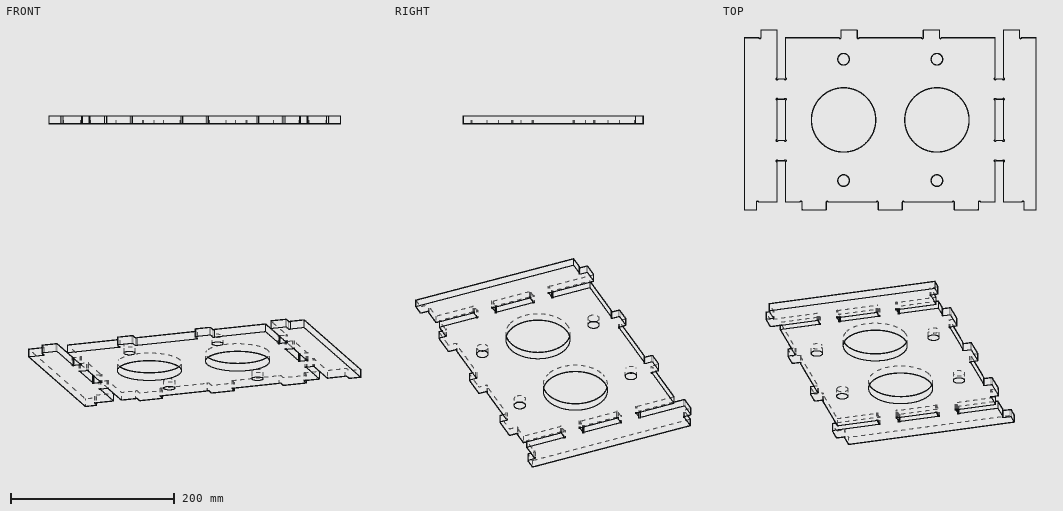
import cadquery as cq

length = 356.0
thickness = 10.0
tab_depth = 9.5
overall_width = 220.0
body_width = overall_width - 2 * tab_depth
shoulder_y = body_width / 2
tab_tip_y = overall_width / 2

slot_width = thickness
slot_outer_x = 138.0
slot_x = slot_outer_x - slot_width / 2
window_length = 50.2
bridge_length = 25.0
open_slot_end_y = window_length / 2 + bridge_length

back_tab_width = 20.0
back_tab_x = 50.2
back_end_tab_width = 20.0
back_end_tab_x = slot_outer_x + back_end_tab_width / 2

front_tab_width = 30.0
front_tab_pitch = 93.0
corner_tab_width = 15.0
corner_tab_x = (length - corner_tab_width) / 2

relief_radius = 1.0
tab_fillet = 1.0

hole_x = 57.0
bore_diameter = 78.3
screw_hole_diameter = 14.0
screw_hole_y = 74.0


def tab(center_x, width, side, rounded_edges="|Z"):
    """Tab on the +Y (side = 1) or -Y (side = -1) edge, rounded at the selected tip corners."""
    tip_face = ">Y" if side > 0 else "<Y"
    blank = cq.Workplane("XY").box(width, 2 * tab_depth, thickness, centered=(True, True, False))
    rounded = blank.faces(tip_face).edges(rounded_edges).fillet(tab_fillet)
    return rounded.translate((center_x, side * (tab_tip_y - tab_depth), 0))


def slot_cut(center_x, start_y, end_y):
    """Rectangular through slot between two Y positions."""
    return (
        cq.Workplane("XY")
        .center(center_x, (start_y + end_y) / 2)
        .rect(slot_width, end_y - start_y)
        .extrude(thickness)
    )


def round_cut(points, diameter):
    """Round through cuts at the given points."""
    return cq.Workplane("XY").pushPoints(points).circle(diameter / 2).extrude(thickness)


panel = cq.Workplane("XY").box(length, body_width, thickness, centered=(True, True, False))
for x in (-back_tab_x, back_tab_x):
    panel = panel.union(tab(x, back_tab_width, 1))
for x in (-front_tab_pitch, 0, front_tab_pitch):
    panel = panel.union(tab(x, front_tab_width, -1))
for side_x, inner_edge in ((-1, "|Z and >X"), (1, "|Z and <X")):
    panel = panel.union(tab(side_x * back_end_tab_x, back_end_tab_width, 1))
    panel = panel.union(tab(side_x * corner_tab_x, corner_tab_width, -1, inner_edge))

for x in (-slot_x, slot_x):
    panel = panel.cut(slot_cut(x, -window_length / 2, window_length / 2))
    panel = panel.cut(slot_cut(x, open_slot_end_y, shoulder_y))
    panel = panel.cut(slot_cut(x, -shoulder_y, -open_slot_end_y))

slot_corners = [
    (side_x * (slot_x + edge * slot_width / 2), side_y * y)
    for side_x in (-1, 1)
    for edge in (-1, 1)
    for side_y in (-1, 1)
    for y in (window_length / 2, open_slot_end_y)
]
panel = panel.cut(round_cut(slot_corners, 2 * relief_radius))

back_relief_xs = [
    back_tab_x - back_tab_width / 2 - relief_radius,
    back_tab_x + back_tab_width / 2 + relief_radius,
    slot_outer_x + back_end_tab_width + relief_radius,
]
front_relief_xs = [
    front_tab_width / 2 + relief_radius,
    front_tab_pitch - front_tab_width / 2 - relief_radius,
    front_tab_pitch + front_tab_width / 2 + relief_radius,
    length / 2 - corner_tab_width - relief_radius,
]
shoulder_reliefs = [
    (side_x * x, y)
    for side_x in (-1, 1)
    for xs, y in ((back_relief_xs, shoulder_y), (front_relief_xs, -shoulder_y))
    for x in xs
]
panel = panel.cut(round_cut(shoulder_reliefs, 2 * relief_radius))

bores = [(-hole_x, 0), (hole_x, 0)]
screw_holes = [(x, y) for x in (-hole_x, hole_x) for y in (-screw_hole_y, screw_hole_y)]
panel = panel.cut(round_cut(bores, bore_diameter))
panel = panel.cut(round_cut(screw_holes, screw_hole_diameter))

result = panel